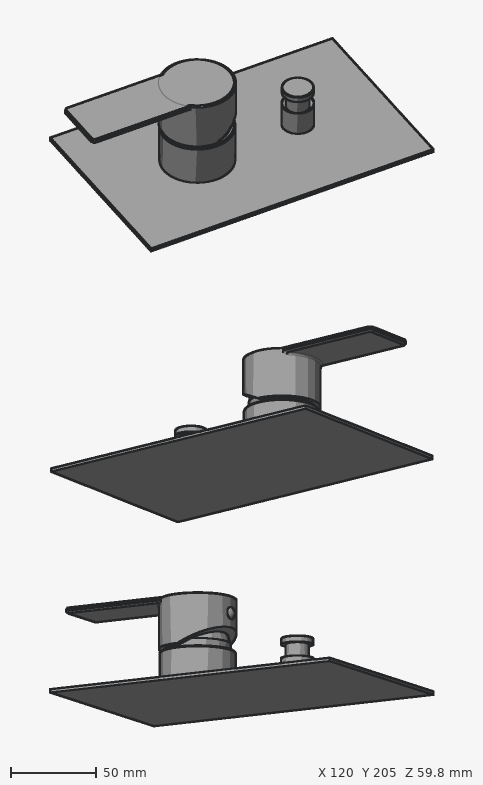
import cadquery as cq
import math


plate_width = 120.0
plate_front = 65.0
plate_back = 124.8
plate_thickness = 2.0

sleeve_radius = 22.3
sleeve_top = 27.7
sleeve_chamfer = 0.8
neck_radius = 19.5
neck_shoulder = 32.4
neck_top = 38.5
neck_taper = 18.0

handle_radius = 22.8
handle_bottom = 29.5
handle_top = 59.2
dome_height = 0.6
relief_angle = 25.0

lever_width = 35.0
lever_reach = 80.2
lever_thickness = 3.3
lever_corner_radius = 2.7
lever_bottom_chamfer = 1.2
lever_root_fillet = 1.2

bevel_width = 1.2
bevel_depth = 0.6

stud_radius = 3.7
stud_height = 1.8
stud_center = 48.8

diverter_offset = 67.6
diverter_sleeve_radius = 9.6
diverter_sleeve_rim = 0.5
diverter_dish_depth = 1.8
diverter_sleeve_top = 17.2
diverter_dish_bottom = diverter_sleeve_top - diverter_dish_depth
stem_radius = 7.0
head_radius = 9.5
head_chamfer = 0.5
head_bottom = 25.6
head_top = 29.3
head_dome_height = 0.5


def cylinder(radius, bottom, top):
    return cq.Workplane("XY").workplane(offset=bottom).circle(radius).extrude(top - bottom)


def dome(radius, height, base):
    """Spherical cap on a flat base disc of the given radius."""
    return (
        cq.Workplane("XZ")
        .moveTo(0, base)
        .lineTo(radius, base)
        .radiusArc((0, base + height), -(radius**2 + height**2) / (2 * height))
        .close()
        .revolve(360, (0, 0, 0), (0, 1, 0))
    )


def make_neck():
    """Straight neck with a tapered upper end, standing on the mixer sleeve."""
    tip_radius = neck_radius - (neck_top - neck_shoulder) * math.tan(math.radians(neck_taper))
    return (
        cq.Workplane("XZ")
        .moveTo(0, sleeve_top)
        .lineTo(neck_radius, sleeve_top)
        .lineTo(neck_radius, neck_shoulder)
        .lineTo(tip_radius, neck_top)
        .lineTo(0, neck_top)
        .close()
        .revolve(360, (0, 0, 0), (0, 1, 0))
    )


def make_dish():
    """Conical dish in the top of the diverter sleeve, narrowing to the stem of the knob."""
    return (
        cq.Workplane("XZ")
        .moveTo(0, diverter_dish_bottom)
        .lineTo(stem_radius, diverter_dish_bottom)
        .lineTo(diverter_sleeve_radius - diverter_sleeve_rim, diverter_sleeve_top)
        .lineTo(0, diverter_sleeve_top)
        .close()
        .revolve(360, (0, 0, 0), (0, 1, 0))
    )


def make_cover():
    """Cover plate with the fixed sleeves of the mixer and the diverter."""
    plate = (
        cq.Workplane("XY")
        .center(0, (plate_back - plate_front) / 2)
        .rect(plate_width, plate_front + plate_back)
        .extrude(plate_thickness)
    )
    mixer_sleeve = cylinder(sleeve_radius, 0, sleeve_top).faces(">Z").chamfer(sleeve_chamfer)
    diverter_sleeve = cylinder(diverter_sleeve_radius, 0, diverter_sleeve_top).cut(make_dish())
    return (
        plate.union(mixer_sleeve)
        .union(make_neck())
        .union(diverter_sleeve.translate((0, diverter_offset, 0)))
    )


def make_lever():
    """Flat lever from the mixer axis to its tip, with beveled long sides and tip."""
    lever = (
        cq.Workplane("XY")
        .workplane(offset=handle_top - lever_thickness)
        .center(0, -lever_reach / 2)
        .rect(lever_width, lever_reach)
        .extrude(lever_thickness)
        .edges("|Z and <Y")
        .fillet(lever_corner_radius)
    )
    lever = lever.faces("<Z").edges("not >Y").chamfer(lever_bottom_chamfer)
    return lever.faces(">Z").edges("not >Y").chamfer(bevel_width, bevel_depth)


def cut_relief(body):
    """Slope the underside of the handle upward from the axis to the back."""
    run = 2 * handle_radius
    rise = run * math.tan(math.radians(relief_angle))
    wedge = (
        cq.Workplane("YZ")
        .moveTo(0, handle_bottom)
        .lineTo(run, handle_bottom)
        .lineTo(run, handle_bottom + rise)
        .close()
        .extrude(handle_radius * 2, both=True)
    )
    return body.cut(wedge)


def make_stud():
    """Ball set into the back of the handle, standing out as a spherical cap."""
    ball_radius = (stud_radius**2 + stud_height**2) / (2 * stud_height)
    ball_center = handle_radius + stud_height - ball_radius
    return cq.Workplane("XY").sphere(ball_radius).translate((0, ball_center, stud_center))


def make_handle():
    """Handle body and lever, sitting over the neck of the mixer sleeve."""
    lever_bottom = handle_top - lever_thickness
    cap = dome(handle_radius, dome_height, handle_top)
    rim = cq.selectors.NearestToPointSelector((0, 0, handle_top))
    body = cylinder(handle_radius, handle_bottom, handle_top).union(cap)
    body = body.edges("%CIRCLE").edges(rim).chamfer(bevel_depth, bevel_width)
    handle = body.union(make_lever())

    lever_root = cq.selectors.BoxSelector(
        (-lever_width, -handle_radius, lever_bottom - lever_bottom_chamfer),
        (lever_width, 0, lever_bottom + lever_bottom_chamfer),
    )
    handle = handle.edges(lever_root).fillet(lever_root_fillet)

    handle = cut_relief(handle).union(make_stud())

    lever_flat = (
        cq.Workplane("XY")
        .workplane(offset=handle_top)
        .center(0, -handle_radius / 2)
        .rect(lever_width - 2 * bevel_width, handle_radius)
        .extrude(dome_height)
    )
    handle = handle.union(cap.intersect(lever_flat))
    return handle.cut(make_neck())


def make_diverter_knob():
    """Headed knob standing in the dish of the diverter sleeve."""
    stem = cylinder(stem_radius, diverter_dish_bottom, head_bottom)
    head = cylinder(head_radius, head_bottom, head_top).faces(">Z").chamfer(head_chamfer)
    knob = stem.union(head).union(dome(head_radius - head_chamfer, head_dome_height, head_top))
    return knob.translate((0, diverter_offset, 0))


cover = make_cover()
handle = make_handle()
diverter_knob = make_diverter_knob()
result = cq.Compound.makeCompound([cover.val(), handle.val(), diverter_knob.val()])